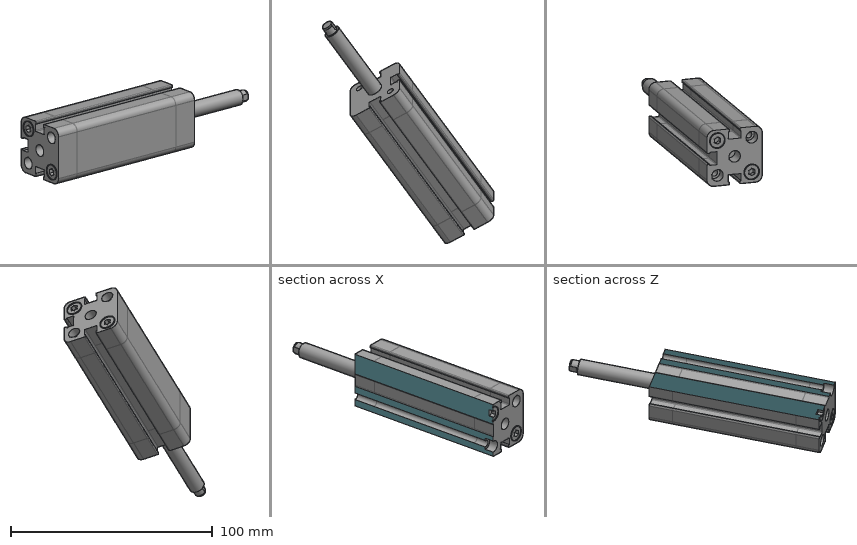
import cadquery as cq
import math

total_length = 132.5
width = 29.0
corner_radius = 3.6
body_length = 87.8
front_cap_length = 12.0
rear_cap_length = 12.2

slot_width = 6.8
slot_depth = 5.3
slot_floor_radius = 0.4
lip_thickness = 1.6
lip_round = 0.5
slot_mouth = 5.5
slot_angles = (0, -90, 180)

hole_offset = 9.0
hole_diameter = 3.5
counterbore_diameter = 6.0
counterbore_depth = 5.0
screw_seat_diameter = 8.0
screw_head_diameter = 7.5
screw_groove_depth = 0.5
socket_across_flats = 3.2
socket_depth = 2.6

port_diameter = 6.0
port_depth = 8.0

rod_diameter = 8.0
tip_diameter = 6.0
tip_length = 4.6
tip_chamfer_length = 0.8
tip_chamfer_depth = 0.3
tip_across_flats = 5.0
flat_length = 4.1
flat_end_radius = 0.7

body_front = -total_length / 2
body_rear = body_front + body_length
rod_end = total_length / 2
rod_length = rod_end - tip_length - body_rear

hole_points = [(hole_offset, hole_offset), (-hole_offset, -hole_offset)]
screw_points = [(-hole_offset, hole_offset), (hole_offset, -hole_offset)]


def section_plane(y):
    """Sketch plane at the given Y with local x = +X and local y = +Z; extrude(-d) goes towards +Y."""
    return cq.Workplane("XZ", origin=(0, y, 0))


def disc(y, diameter, length, points=((0, 0),)):
    """Cylinders along +Y starting at y, one per (x, z) point."""
    return section_plane(y).pushPoints(points).circle(diameter / 2).extrude(-length)


def make_slot(y, length):
    """Cutter for the slot of the +Z face; two rounded lips narrow its mouth."""
    top = width / 2
    groove = (
        section_plane(y)
        .center(0, top - slot_depth / 2)
        .rect(slot_width, slot_depth)
        .extrude(-length)
        .edges("|Y and <Z")
        .fillet(slot_floor_radius)
    )
    lip_reach = (slot_width - slot_mouth) / 2
    lips = (
        section_plane(y)
        .pushPoints([(side * slot_width / 2, top - lip_thickness / 2) for side in (-1, 1)])
        .rect(2 * lip_reach, lip_thickness)
        .extrude(-length)
        .edges("|Y")
        .fillet(lip_round)
    )
    return groove.cut(lips)


def make_profile(y, length):
    """Length of the slotted square section."""
    profile = section_plane(y).rect(width, width).extrude(-length).edges("|Y").fillet(corner_radius)
    slot = make_slot(y, length)
    for angle in slot_angles:
        profile = profile.cut(slot.rotate((0, 0, 0), (0, 1, 0), angle))
    return profile.cut(disc(y, hole_diameter, length, hole_points))


def make_front_cap():
    """Front cap with counterbores, port and the two flush socket-head screws."""
    cap = make_profile(body_front, front_cap_length)
    cap = cap.cut(disc(body_front, counterbore_diameter, counterbore_depth, hole_points))
    cap = cap.cut(disc(body_front, port_diameter, port_depth))

    seat = disc(body_front, screw_seat_diameter, screw_groove_depth, screw_points)
    head = disc(body_front, screw_head_diameter, screw_groove_depth, screw_points)
    cap = cap.cut(seat.cut(head))

    socket_diameter = socket_across_flats / math.cos(math.pi / 6)
    for x, z in screw_points:
        socket = (
            section_plane(body_front)
            .polygon(6, socket_diameter)
            .extrude(-socket_depth)
            .rotate((0, 0, 0), (0, 1, 0), 30)
            .translate((x, 0, z))
        )
        cap = cap.cut(socket)
    return cap


def make_rod():
    rod = disc(body_rear, rod_diameter, rod_length)
    tip = disc(rod_end - tip_length, tip_diameter, tip_length)
    tip = tip.faces(">Y").chamfer(tip_chamfer_length, tip_chamfer_depth)

    flat_cutter = (
        section_plane(rod_end - flat_length)
        .center((tip_across_flats + tip_diameter) / 2, 0)
        .rect(tip_diameter, tip_diameter)
        .extrude(-flat_length)
        .edges("|Z and <X and <Y")
        .fillet(flat_end_radius)
    )
    tip = tip.cut(flat_cutter).cut(flat_cutter.mirror("YZ"))
    return rod.union(tip)


tube_front = body_front + front_cap_length
tube_rear = body_rear - rear_cap_length

front_cap = make_front_cap()
tube = make_profile(tube_front, tube_rear - tube_front)
rear_cap = make_profile(tube_rear, rear_cap_length)

result = front_cap.union(tube, clean=False).union(rear_cap, clean=False).union(make_rod(), clean=False)